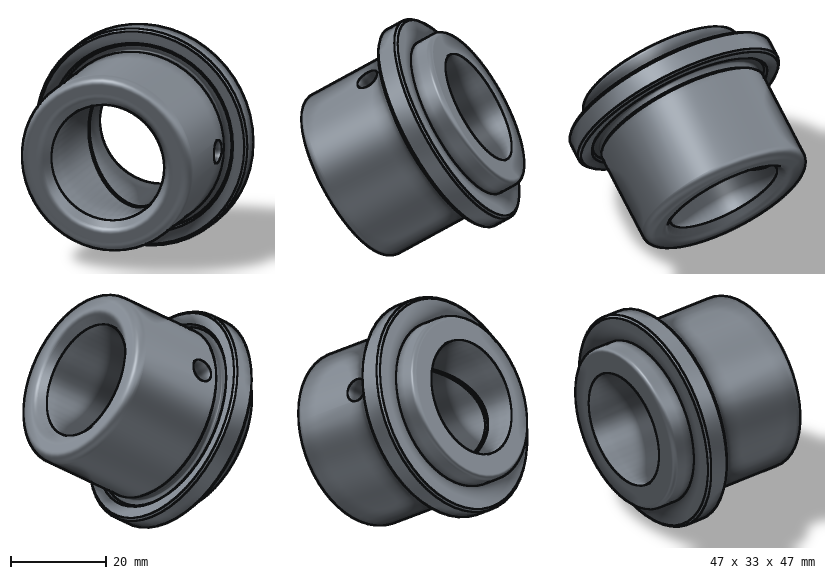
import cadquery as cq
import math

length = 33.0
front_y = -length / 2
back_y = length / 2

body_radius = 19.0
front_round = 2.0
neck_radius = 18.5
body_chamfer = body_radius - neck_radius
body_length = 22.0
flange_radius = 23.5
flange_thickness = 5.0
flange_chamfer = 0.5
spigot_radius = 18.0
spigot_length = 5.05
spigot_round = 1.0

recess_radius = 20.5
recess_depth = 0.5
recess_fillet = 0.5

bore_radius = 12.5
cone_radius = 13.85
mouth_round = 2.0
cone_length = cone_radius - bore_radius
mouth_radius = cone_radius + mouth_round * math.sin(math.radians(45))
mouth_depth = mouth_round * (1 - math.cos(math.radians(45)))

groove_depth = 0.38
groove_width = 0.7
groove_tilt = 40.0
groove_y = -1.1

oil_hole_diameter = 5.0
oil_hole_y = 1.15

flange_back_y = back_y - spigot_length
flange_front_y = flange_back_y - flange_thickness
recess_floor_y = flange_front_y + recess_depth
body_end_y = front_y + body_length


def outer_solid():
    """Revolve the outside profile, drawn as (radius, y)."""
    return (
        cq.Workplane("XY")
        .moveTo(0, front_y)
        .lineTo(body_radius - front_round, front_y)
        .radiusArc((body_radius, front_y + front_round), -front_round)
        .lineTo(body_radius, body_end_y - body_chamfer)
        .lineTo(neck_radius, body_end_y)
        .lineTo(neck_radius, recess_floor_y - recess_fillet)
        .radiusArc((neck_radius + recess_fillet, recess_floor_y), recess_fillet)
        .lineTo(recess_radius - recess_depth, recess_floor_y)
        .lineTo(recess_radius, flange_front_y)
        .lineTo(flange_radius - flange_chamfer, flange_front_y)
        .lineTo(flange_radius, flange_front_y + flange_chamfer)
        .lineTo(flange_radius, flange_back_y - flange_chamfer)
        .lineTo(flange_radius - flange_chamfer, flange_back_y)
        .lineTo(spigot_radius, flange_back_y)
        .lineTo(spigot_radius, back_y - spigot_round)
        .radiusArc((spigot_radius - spigot_round, back_y), -spigot_round)
        .lineTo(0, back_y)
        .close()
        .revolve(360, (0, 0), (0, 1))
    )


def bore_cutter():
    """Revolve the bore profile: rounded mouth, cone and straight bore."""
    cone_start_y = front_y + mouth_depth
    return (
        cq.Workplane("XY")
        .moveTo(0, front_y)
        .lineTo(mouth_radius, front_y)
        .radiusArc((cone_radius, cone_start_y), mouth_round)
        .lineTo(bore_radius, cone_start_y + cone_length)
        .lineTo(bore_radius, back_y)
        .lineTo(0, back_y)
        .close()
        .revolve(360, (0, 0), (0, 1))
    )


def groove_cutter():
    """Tilted slab, trimmed to the groove floor cylinder along the bore axis."""
    floor_radius = bore_radius + groove_depth
    slab_size = 4 * floor_radius
    slab = (
        cq.Workplane("XY")
        .box(slab_size, groove_width, slab_size)
        .rotate((0, 0, 0), (0, 0, 1), -groove_tilt)
        .translate((0, groove_y, 0))
    )
    floor_cylinder = cq.Workplane("XZ").circle(floor_radius).extrude(length / 2, both=True)
    return slab.intersect(floor_cylinder)


def oil_hole_cutter():
    """Cylinder running from the bore axis out through the +X wall."""
    return cq.Workplane("YZ").center(oil_hole_y, 0).circle(oil_hole_diameter / 2).extrude(flange_radius)


result = outer_solid().cut(bore_cutter()).cut(groove_cutter()).cut(oil_hole_cutter())